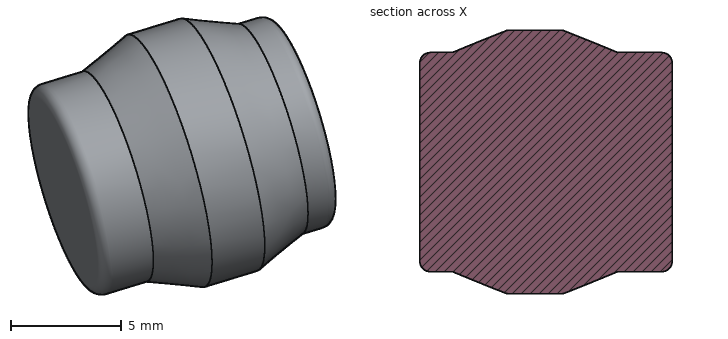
import cadquery as cq

belt_diameter = 12.0
end_diameter = 10.0
length = 11.5
edge_radius = 0.5
front_land = 2.5
taper_length = 2.47
belt_width = 2.55

belt_radius = belt_diameter / 2
end_radius = end_diameter / 2

front_taper_start = front_land
belt_start = front_taper_start + taper_length
belt_end = belt_start + belt_width
rear_taper_end = belt_end + taper_length

half_section = (
    cq.Workplane("XY")
    .lineTo(end_radius, 0)
    .lineTo(end_radius, front_taper_start)
    .lineTo(belt_radius, belt_start)
    .lineTo(belt_radius, belt_end)
    .lineTo(end_radius, rear_taper_end)
    .lineTo(end_radius, length)
    .lineTo(0, length)
    .close()
)
body = half_section.revolve(360, (0, 0, 0), (0, 1, 0))

result = body.faces("<Y or >Y").edges().fillet(edge_radius)